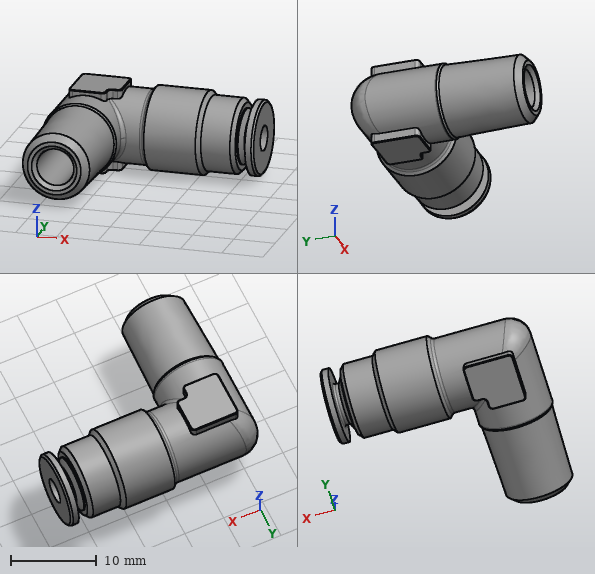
import cadquery as cq
import math

body_radius = 4.49
outer_bend_fillet = 2.4
inner_bend_fillet = 0.5

arm_end = 20.42
collar_radius = 10.0 / 2
collar_start = 7.3
collar_end = 13.55
collar_step = collar_radius - body_radius
neck_fillet = 0.5
sleeve_end = 18.1
sleeve_chamfer = 0.5
lip_radius = 3.35
lip_length = 0.15
groove_radius = 2.47
groove_start = 18.75
flange_start = 19.42
flange_chamfer = 0.25
flange_fillet = 0.25

leg_end = 17.0
shoulder_start = 6.58
shoulder_peak = 6.78
shoulder_end = 7.03
shoulder_radius = 4.5
leg_root_radius = 4.31
leg_tip_radius = 4.06
leg_chamfer_length = 0.8
leg_face_radius = 3.25

leg_bore_radius = 2.25
leg_bore_chamfer = 0.5
arm_bore_radius = 1.5

pad_outer_edge = 2.25
pad_size = 6.0
pad_inner_edge = pad_size - pad_outer_edge
pad_notch_edge = 2.25
pad_corner_fillet = 0.5
pad_edge_chamfer = 0.1

bevel_angle = math.radians(45)
neck_fillet_rise = neck_fillet * (1 - math.cos(bevel_angle))
bevel_start = collar_start - (collar_step - neck_fillet_rise)
neck_end = bevel_start - neck_fillet * math.sin(bevel_angle)


def make_bend():
    """Plain round bar with a square mitre, from the shoulder to the neck."""
    path = cq.Workplane("XY").moveTo(0, -shoulder_start).lineTo(0, 0).lineTo(neck_end, 0)
    section = cq.Workplane("XZ", origin=(0, -shoulder_start, 0)).circle(body_radius)
    return section.sweep(path, transition="right")


def make_pads():
    """One notched block through the bend whose two ends stand out as the pads."""
    block = (
        cq.Workplane("XY")
        .moveTo(-pad_outer_edge, pad_outer_edge)
        .lineTo(pad_inner_edge, pad_outer_edge)
        .lineTo(pad_inner_edge, -pad_notch_edge)
        .lineTo(pad_notch_edge, -pad_notch_edge)
        .lineTo(pad_notch_edge, -pad_inner_edge)
        .lineTo(-pad_outer_edge, -pad_inner_edge)
        .close()
        .extrude(collar_radius, both=True)
    )
    block = block.edges("|Z").fillet(pad_corner_fillet)
    return block.faces("<Z or >Z").chamfer(pad_edge_chamfer)


def mitre_edges(side):
    """Select the mitre curves outside the pads: side +1 is the inner bend, -1 the outer."""
    near = side * (pad_notch_edge + pad_corner_fillet)
    far = side * body_radius
    return cq.selectors.BoxSelector((near, -near, -body_radius), (far, -far, body_radius))


def make_arm():
    """Turned tube arm: neck, collar, sleeve, lip, groove and release flange."""
    neck_mid_x = neck_end + neck_fillet * math.sin(bevel_angle / 2)
    neck_mid_radius = body_radius + neck_fillet * (1 - math.cos(bevel_angle / 2))
    flange_fillet_start = flange_start - flange_fillet
    flange_fillet_radius = groove_radius + flange_fillet
    half_arc = flange_fillet * math.sin(math.radians(45))
    profile = (
        cq.Workplane("XY")
        .moveTo(neck_end, 0)
        .lineTo(neck_end, body_radius)
        .threePointArc((neck_mid_x, neck_mid_radius), (bevel_start, body_radius + neck_fillet_rise))
        .lineTo(collar_start, collar_radius)
        .lineTo(collar_end, collar_radius)
        .lineTo(collar_end + collar_step, body_radius)
        .lineTo(sleeve_end - sleeve_chamfer, body_radius)
        .lineTo(sleeve_end, body_radius - sleeve_chamfer)
        .lineTo(sleeve_end, lip_radius)
        .lineTo(sleeve_end + lip_length, lip_radius)
        .lineTo(groove_start, groove_radius)
        .lineTo(flange_fillet_start, groove_radius)
        .threePointArc(
            (flange_fillet_start + half_arc, flange_fillet_radius - half_arc),
            (flange_start, flange_fillet_radius),
        )
        .lineTo(flange_start, body_radius)
        .lineTo(arm_end - flange_chamfer, body_radius)
        .lineTo(arm_end, body_radius - flange_chamfer)
        .lineTo(arm_end, 0)
        .close()
    )
    return profile.revolve(360, (0, 0, 0), (1, 0, 0))


def make_leg():
    """Turned leg: shoulder ring, tapered length and end chamfer."""
    profile = (
        cq.Workplane("XY")
        .moveTo(0, -shoulder_start)
        .lineTo(body_radius, -shoulder_start)
        .lineTo(shoulder_radius, -shoulder_peak)
        .lineTo(leg_root_radius, -shoulder_end)
        .lineTo(leg_tip_radius, -leg_end + leg_chamfer_length)
        .lineTo(leg_face_radius, -leg_end)
        .lineTo(0, -leg_end)
        .close()
    )
    return profile.revolve(360, (0, 0, 0), (0, 1, 0))


def make_passages():
    """Leg bore with chamfered mouth and domed end, meeting the narrower arm bore."""
    mouth_radius = leg_bore_radius + leg_bore_chamfer
    leg_bore = (
        cq.Workplane("XY")
        .moveTo(0, -leg_end)
        .lineTo(mouth_radius, -leg_end)
        .lineTo(leg_bore_radius, -leg_end + leg_bore_chamfer)
        .lineTo(leg_bore_radius, 0)
        .radiusArc((0, leg_bore_radius), -leg_bore_radius)
        .close()
        .revolve(360, (0, 0, 0), (0, 1, 0))
    )
    arm_bore = cq.Workplane("YZ").circle(arm_bore_radius).extrude(arm_end)
    return leg_bore.union(arm_bore)


body = make_bend().union(make_pads())
body = body.edges(mitre_edges(-1)).fillet(outer_bend_fillet)
body = body.edges(mitre_edges(1)).fillet(inner_bend_fillet)
result = body.union(make_arm()).union(make_leg()).cut(make_passages())